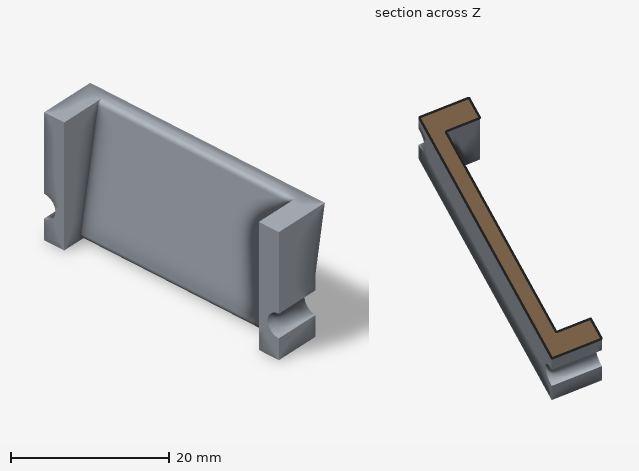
import cadquery as cq
import math

length = 39.8
height = 19.71
top_depth = 8.73

lean_angle = 10.0
foot_depth = 7.0
lean = math.tan(math.radians(lean_angle))
bend_height = height - (top_depth - foot_depth) / lean

leg_width = 3.4
opening_width = length - 2 * leg_width
panel_top_thickness = 2.2
panel_edge_radius = 0.8

notch_radius = 1.9
notch_height = 5.25



def make_body():
    """Solid block with the bent back profile, before it is hollowed out."""
    profile = [
        (0, 0),
        (foot_depth, 0),
        (foot_depth, bend_height),
        (top_depth, height),
        (0, height),
    ]
    return cq.Workplane("YZ").polyline(profile).close().extrude(length / 2, both=True)


def make_opening():
    """Space between the legs, bounded by the leaning, round-edged panel front."""
    panel_top_y = top_depth - panel_top_thickness
    panel_bottom_y = panel_top_y - height * lean
    panel_profile = [
        (panel_bottom_y, 0),
        (top_depth, 0),
        (top_depth, height),
        (panel_top_y, height),
    ]
    panel = (
        cq.Workplane("YZ")
        .polyline(panel_profile)
        .close()
        .extrude(opening_width / 2, both=True)
        .faces("<Y")
        .edges("|X")
        .fillet(panel_edge_radius)
    )
    block = cq.Workplane("XY").box(
        opening_width, top_depth, height, centered=(True, False, False)
    )
    return block.cut(panel)


def make_notch(side):
    """Cylinder running front to back, centred on one outer leg face."""
    return (
        cq.Workplane("XZ")
        .center(side * length / 2, notch_height)
        .circle(notch_radius)
        .extrude(-top_depth)
    )


result = make_body().cut(make_opening())
for side in (-1, 1):
    result = result.cut(make_notch(side))